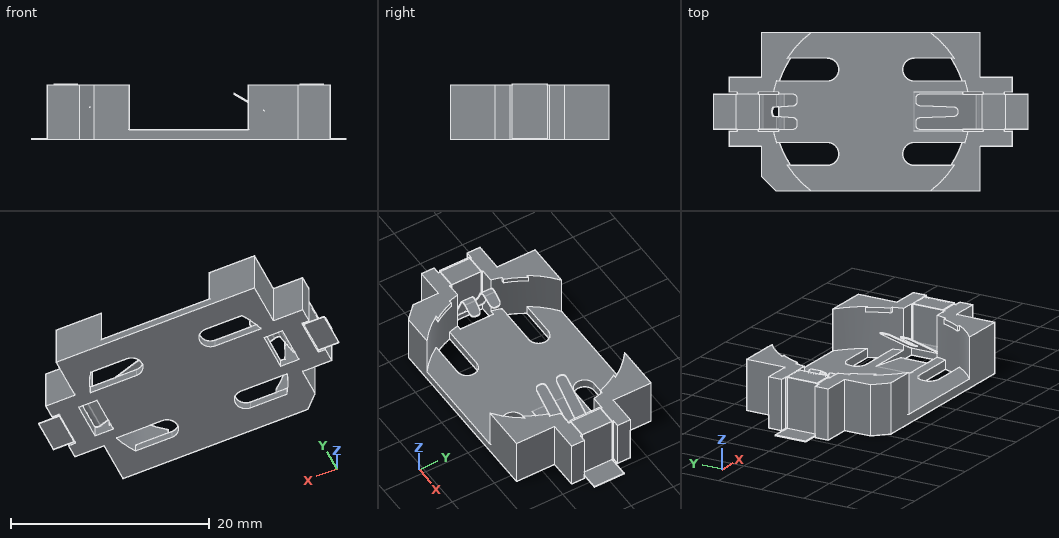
import cadquery as cq
import math

TOTAL_LENGTH = 31.7
TOTAL_HEIGHT = 5.6
STRIP_THICKNESS = 0.1
STRIP_WIDTH = 3.55

HOUSING_LENGTH = 22.03
HOUSING_WIDTH = 16.0
HOUSING_HEIGHT = TOTAL_HEIGHT - STRIP_THICKNESS
WING_LENGTH = 28.53
WING_WIDTH = 6.97
BASE_THICKNESS = 1.0
CORNER_CHAMFER = 1.5
CELL_RADIUS = 10.0

SLOT_INNER_Y = 3.1
SLOT_OUTER_Y = 5.4
SLOT_INNER_X = 3.23
SLOT_WIDTH = SLOT_OUTER_Y - SLOT_INNER_Y
SLOT_CENTRE_Y = (SLOT_INNER_Y + SLOT_OUTER_Y) / 2
LIP_RADIUS = 9.7
LIP_HEIGHT = 0.5

SADDLE_INNER_X = 11.32
SADDLE_OUTER_X = 13.47
CHANNEL_WIDTH = 3.93
CHANNEL_INNER_X = 9.3

RECESS_START_X = 4.35
RECESS_DEPTH = 0.63

NEGATIVE_TIP_X = 4.53
NEGATIVE_BEND_RADIUS = 0.38
NEGATIVE_BEND_Z = 1.5
NEGATIVE_GAP_END_X = 8.8
ARM_ANGLE = 30.0

POSITIVE_TIP_X = 7.42
POSITIVE_BEND_RADIUS = 0.2
POSITIVE_BEND_Z = 1.5
RISE_ANGLE = 67.0
RISE_LENGTH = 3.5
CREST_RADIUS = 0.57
GAP_DEPTH_IN_RISE = 1.27

FINGER_GAP_TIP = 1.25
FINGER_GAP_ROOT = 0.95
FINGER_TIP_RADIUS = 0.45


def block(x_min, x_max, width, z_min, z_max):
    """Box centred on the X axis in Y."""
    return (
        cq.Workplane("XY", origin=(0, 0, z_min))
        .moveTo((x_min + x_max) / 2, 0)
        .rect(x_max - x_min, width)
        .extrude(z_max - z_min)
    )


def cell_cylinder(radius, z_min, z_max):
    return cq.Workplane("XY", origin=(0, 0, z_min)).circle(radius).extrude(z_max - z_min)


def housing_blank():
    main = block(-HOUSING_LENGTH / 2, HOUSING_LENGTH / 2, HOUSING_WIDTH, 0, HOUSING_HEIGHT)
    main = main.edges("|Z and <X and <Y").chamfer(CORNER_CHAMFER)
    wings = block(-WING_LENGTH / 2, WING_LENGTH / 2, WING_WIDTH, 0, HOUSING_HEIGHT)
    return main.union(wings)


def slot_bands(z_min, z_max):
    """The four slot outlines, running from a round inner end outward past the cell pocket wall."""
    straight_length = HOUSING_LENGTH / 2 - SLOT_INNER_X - SLOT_WIDTH / 2
    bands = cq.Workplane("XY")
    for side_x in (-1, 1):
        for side_y in (-1, 1):
            centre_x = side_x * (SLOT_INNER_X + SLOT_WIDTH / 2)
            centre_y = side_y * SLOT_CENTRE_Y
            plane = cq.Workplane("XY", origin=(centre_x, centre_y, z_min))
            round_end = plane.circle(SLOT_WIDTH / 2).extrude(z_max - z_min)
            straight = plane.moveTo(side_x * straight_length / 2, 0).rect(straight_length, SLOT_WIDTH)
            bands = bands.union(round_end).union(straight.extrude(z_max - z_min))
    return bands


def retaining_lips():
    z_min = HOUSING_HEIGHT - LIP_HEIGHT
    ring = cell_cylinder(CELL_RADIUS, z_min, HOUSING_HEIGHT)
    ring = ring.cut(cell_cylinder(LIP_RADIUS, z_min, HOUSING_HEIGHT))
    return ring.intersect(slot_bands(z_min, HOUSING_HEIGHT))


def spring_recess():
    """Wedge sunk into the base, deepest at the channel."""
    return (
        cq.Workplane("XZ", origin=(0, CHANNEL_WIDTH / 2, 0))
        .moveTo(RECESS_START_X, BASE_THICKNESS)
        .lineTo(CHANNEL_INNER_X, BASE_THICKNESS)
        .lineTo(CHANNEL_INNER_X, BASE_THICKNESS - RECESS_DEPTH)
        .close()
        .extrude(CHANNEL_WIDTH)
    )


def make_housing():
    body = housing_blank()
    body = body.cut(cell_cylinder(CELL_RADIUS, BASE_THICKNESS, HOUSING_HEIGHT))
    slots = slot_bands(0, BASE_THICKNESS).intersect(cell_cylinder(CELL_RADIUS, 0, BASE_THICKNESS))
    body = body.cut(slots)
    body = body.union(retaining_lips())
    channel = block(CHANNEL_INNER_X, SADDLE_INNER_X, CHANNEL_WIDTH, 0, HOUSING_HEIGHT)
    end_notch = block(SADDLE_OUTER_X, WING_LENGTH / 2, CHANNEL_WIDTH, 0, HOUSING_HEIGHT)
    for opening in (channel, end_notch):
        body = body.cut(opening).cut(opening.mirror("YZ"))
    return body.cut(spring_recess())


LEG_X = SADDLE_INNER_X - STRIP_THICKNESS / 2


def slope(angle, length):
    """Step inward and upward along a slope measured from the horizontal."""
    return (-length * math.cos(math.radians(angle)), length * math.sin(math.radians(angle)))


def leg_and_bend(bend_radius, bend_z, angle):
    """Centre line down the inner leg and round a bend that leaves it rising at the given angle."""
    radius = bend_radius + STRIP_THICKNESS / 2
    rise = math.radians(angle)
    bend_end = (LEG_X - radius * (1 + math.sin(rise)), bend_z - radius * math.cos(rise))
    return (
        cq.Workplane("XZ")
        .moveTo(LEG_X, HOUSING_HEIGHT)
        .lineTo(LEG_X, bend_z)
        .tangentArcPoint(bend_end, relative=False)
    )


def sweep_strip(centre_line):
    section = cq.Workplane("XY", origin=(LEG_X, 0, HOUSING_HEIGHT)).rect(STRIP_THICKNESS, STRIP_WIDTH)
    return section.sweep(centre_line)


def fold_over_saddle():
    """Foot, outer leg and top of the strip, with sharp folds."""
    half_length = TOTAL_LENGTH / 2
    foot = block(SADDLE_OUTER_X, half_length, STRIP_WIDTH, 0, STRIP_THICKNESS)
    outer_face = SADDLE_OUTER_X + STRIP_THICKNESS
    outer_leg = block(SADDLE_OUTER_X, outer_face, STRIP_WIDTH, 0, TOTAL_HEIGHT)
    inner_face = SADDLE_INNER_X - STRIP_THICKNESS
    top = block(inner_face, outer_face, STRIP_WIDTH, HOUSING_HEIGHT, TOTAL_HEIGHT)
    return foot.union(outer_leg).union(top)


def finger_outline(tip_x, gap_root_x):
    """Tall block with the plan outline of a strip whose end is split into two rounded fingers."""
    blank = block(tip_x, SADDLE_OUTER_X, STRIP_WIDTH, 0, TOTAL_HEIGHT)
    gap = (
        cq.Workplane("XY")
        .moveTo(tip_x, FINGER_GAP_TIP / 2)
        .lineTo(gap_root_x, FINGER_GAP_ROOT / 2)
        .lineTo(gap_root_x, -FINGER_GAP_ROOT / 2)
        .lineTo(tip_x, -FINGER_GAP_TIP / 2)
        .close()
        .extrude(TOTAL_HEIGHT)
    )
    return blank.cut(gap).faces("<X").edges("|Z").fillet(FINGER_TIP_RADIUS)


def make_negative_terminal():
    centre_line = leg_and_bend(NEGATIVE_BEND_RADIUS, NEGATIVE_BEND_Z, ARM_ANGLE)
    arm_length = (LEG_X - NEGATIVE_TIP_X) / math.cos(math.radians(ARM_ANGLE))
    centre_line = centre_line.line(*slope(ARM_ANGLE, arm_length))
    gap_root_x = NEGATIVE_GAP_END_X - FINGER_GAP_ROOT / 2
    gap_end = (
        cq.Workplane("XY").moveTo(gap_root_x, 0).circle(FINGER_GAP_ROOT / 2).extrude(TOTAL_HEIGHT)
    )
    spring = sweep_strip(centre_line).intersect(finger_outline(NEGATIVE_TIP_X, gap_root_x)).cut(gap_end)
    return spring.union(fold_over_saddle())


def make_positive_terminal():
    centre_line = leg_and_bend(POSITIVE_BEND_RADIUS, POSITIVE_BEND_Z, RISE_ANGLE)
    centre_line = centre_line.line(*slope(RISE_ANGLE, RISE_LENGTH))
    rise_top = centre_line.val().endPoint()
    rise = math.radians(RISE_ANGLE)
    fall = math.radians(ARM_ANGLE)
    crest_radius = CREST_RADIUS - STRIP_THICKNESS / 2
    crest_step = (
        -crest_radius * (math.sin(rise) + math.sin(fall)),
        crest_radius * (math.cos(fall) - math.cos(rise)),
    )
    centre_line = centre_line.tangentArcPoint(crest_step, relative=True)
    tip_length = (rise_top.x + crest_step[0] - POSITIVE_TIP_X) / math.cos(fall) + STRIP_THICKNESS
    centre_line = centre_line.line(*slope(-ARM_ANGLE, tip_length))

    gap_end_y = FINGER_GAP_ROOT / 2 - GAP_DEPTH_IN_RISE
    rise_plane = cq.Plane(
        origin=(rise_top.x, 0, rise_top.z), xDir=(0, 1, 0), normal=(math.sin(rise), 0, math.cos(rise))
    )
    gap_in_rise = (
        cq.Workplane(rise_plane)
        .moveTo(-FINGER_GAP_ROOT / 2, CREST_RADIUS)
        .lineTo(-FINGER_GAP_ROOT / 2, gap_end_y)
        .threePointArc((0, -GAP_DEPTH_IN_RISE), (FINGER_GAP_ROOT / 2, gap_end_y))
        .lineTo(FINGER_GAP_ROOT / 2, CREST_RADIUS)
        .close()
        .extrude(STRIP_THICKNESS, both=True)
    )
    spring = sweep_strip(centre_line).intersect(finger_outline(POSITIVE_TIP_X, rise_top.x)).cut(gap_in_rise)
    return spring.union(fold_over_saddle()).mirror("YZ")


housing = make_housing()
negative_terminal = make_negative_terminal()
positive_terminal = make_positive_terminal()

bodies = (housing, negative_terminal, positive_terminal)
result = cq.Compound.makeCompound([body.solids().val() for body in bodies])